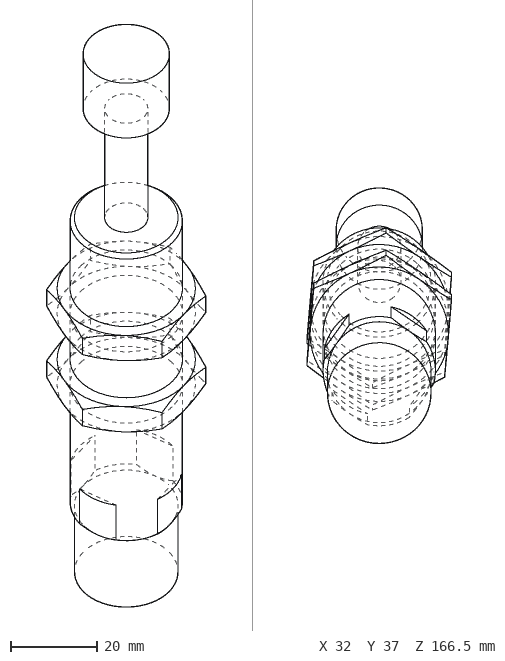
import cadquery as cq
import math

thread_diameter = 26.0
base_diameter = 24.0
rod_diameter = 10.0
cap_diameter = 20.0

thread_bottom_z = 21.0
thread_top_z = 112.0
cap_bottom_z = 146.5
total_height = 166.5
dome_radius = 20.0

lead_in_height = 1.0
lead_in_diameter = 24.0

wrench_size = 24.0
flat_count = 4
flat_height = 12.0

hexagon_sides = 6
nut_across_flats = 32.0
nut_thickness = 8.0
nut_bevel_diameter = nut_across_flats
nut_bevel_angle = 30.0
upper_nut_bottom_z = 81.65
nut_spacing = 22.5
nut_bottom_levels = [upper_nut_bottom_z - nut_spacing, upper_nut_bottom_z]


def make_turned_body():
    """Revolve the stepped half profile, with an arc for the domed cap end."""
    thread_radius = thread_diameter / 2
    base_radius = base_diameter / 2
    rod_radius = rod_diameter / 2
    cap_radius = cap_diameter / 2
    dome_center_z = total_height - dome_radius
    dome_edge_z = dome_center_z + math.sqrt(dome_radius**2 - cap_radius**2)
    arc_mid_angle = math.asin(cap_radius / dome_radius) / 2
    arc_mid = (
        dome_radius * math.sin(arc_mid_angle),
        dome_center_z + dome_radius * math.cos(arc_mid_angle),
    )
    return (
        cq.Workplane("XZ")
        .moveTo(0, 0)
        .lineTo(base_radius, 0)
        .lineTo(base_radius, thread_bottom_z)
        .lineTo(thread_radius, thread_bottom_z + lead_in_height)
        .lineTo(thread_radius, thread_top_z - lead_in_height)
        .lineTo(lead_in_diameter / 2, thread_top_z)
        .lineTo(rod_radius, thread_top_z)
        .lineTo(rod_radius, cap_bottom_z)
        .lineTo(cap_radius, cap_bottom_z)
        .lineTo(cap_radius, dome_edge_z)
        .threePointArc(arc_mid, (0, total_height))
        .close()
        .revolve(360, (0, 0, 0), (0, 1, 0))
    )


def make_absorber():
    """Turned body with the wrench flats cut into the lower end of its thread."""
    absorber = make_turned_body()
    for index in range(flat_count):
        flat_cutter = (
            cq.Workplane("XY", origin=(0, 0, thread_bottom_z))
            .center(wrench_size / 2 + thread_diameter / 2, 0)
            .rect(thread_diameter, thread_diameter)
            .extrude(flat_height)
            .rotate((0, 0, 0), (0, 0, 1), index * 360 / flat_count)
        )
        absorber = absorber.cut(flat_cutter)
    return absorber


def make_nut(bottom_z):
    """Hexagon nut with corners on the Y axis, beveled on both faces."""
    corner_radius = nut_across_flats / math.sqrt(3)
    bevel_radius = nut_bevel_diameter / 2
    bevel_drop = (corner_radius - bevel_radius) * math.tan(math.radians(nut_bevel_angle))
    hexagon = (
        cq.Workplane("XY")
        .polygon(hexagon_sides, 2 * corner_radius)
        .extrude(nut_thickness)
        .rotate((0, 0, 0), (0, 0, 1), 90)
    )
    bevel_envelope = (
        cq.Workplane("XZ")
        .moveTo(0, 0)
        .lineTo(bevel_radius, 0)
        .lineTo(corner_radius, bevel_drop)
        .lineTo(corner_radius, nut_thickness - bevel_drop)
        .lineTo(bevel_radius, nut_thickness)
        .lineTo(0, nut_thickness)
        .close()
        .revolve(360, (0, 0, 0), (0, 1, 0))
    )
    bore = cq.Workplane("XY").circle(thread_diameter / 2).extrude(nut_thickness)
    return hexagon.intersect(bevel_envelope).cut(bore).translate((0, 0, bottom_z))


absorber = make_absorber()
nuts = [make_nut(bottom_z) for bottom_z in nut_bottom_levels]
result = cq.Compound.makeCompound([absorber.val(), *[nut.val() for nut in nuts]])